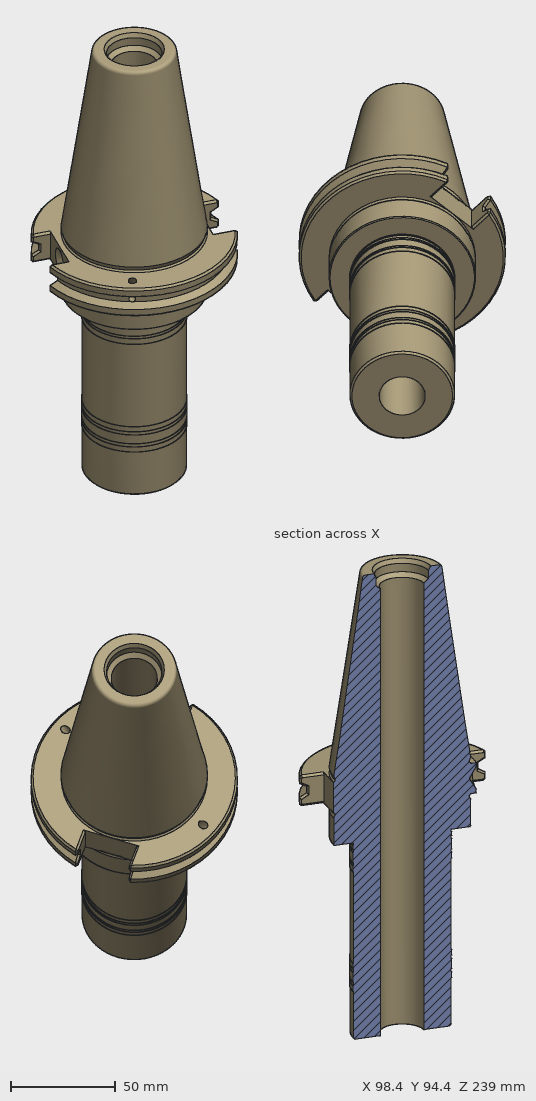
import cadquery as cq
import math


gauge_radius = 69.85 / 2
taper_ratio = 7 / 24
taper_length = 101.6
taper_end_round = 1.9

flange_radius = 98.425 / 2
flange_top = -3.175
flange_bottom = -19.05
flange_edge_chamfer = 1.0
groove_floor_radius = 91.2 / 2
flange_middle = (flange_top + flange_bottom) / 2
groove_floor_width = 3.2
groove_flank_angle = 30
groove_mouth_width = groove_floor_width + 2 * (flange_radius - groove_floor_radius) * math.tan(
    math.radians(groove_flank_angle)
)

neck_depth = 0.8
neck_step = 0.9

collar_top = -21.6
collar_bottom = -36.0
collar_bottom_chamfer = 0.5

overall_length = 239.0
sleeve_bottom = taper_length - overall_length
sleeve_radius = 50 / 2
sleeve_chamfer = 1.0
band_radius = 50.5 / 2
upper_bands = [(-37.2, 2.05), (-40.7, 5.4), (-47.55, 3.2)]
lower_bands = [(-97.95, 2.9), (-102.65, 5.05), (-109.5, 2.9)]

bore_radius = 21.96 / 2
pilot_radius = 26.4 / 2
pilot_depth = 6.5
pilot_bottom_depth = 8.5
pilot_mouth_radius = 28.7 / 2
pilot_mouth_depth = 2.2

slot_width = 25.7
slot_edge_chamfer = 1.1
front_slot_floor = -37.7
back_slot_floor = 35.0
dimple_diameter = 11.7
dimple_depth = 3.5

coolant_angle = 20
coolant_diameter = 3.9
coolant_mouth_radius = 41.9
coolant_tilt = 36
coolant_depth = 11.0
plug_diameter = 3.24
plug_depth = 4.0

cutter_overrun = 3.0
tolerance = 1e-4


def body():
    """Revolved outside shape."""
    half_angle = math.atan(taper_ratio / 2)
    taper_end_radius = gauge_radius - taper_length * math.tan(half_angle)
    round_run = taper_end_round * math.tan((math.pi / 2 - half_angle) / 2)
    round_center = (taper_end_radius - round_run, taper_length - taper_end_round)
    bisector = (math.pi / 2 + half_angle) / 2
    round_middle = (
        round_center[0] + taper_end_round * math.cos(bisector),
        round_center[1] + taper_end_round * math.sin(bisector),
    )
    round_end = (
        round_center[0] + taper_end_round * math.cos(half_angle),
        round_center[1] + taper_end_round * math.sin(half_angle),
    )
    neck_radius = gauge_radius - neck_depth
    flange_edge_radius = flange_radius - flange_edge_chamfer
    side_profile = [
        (gauge_radius, 0),
        (neck_radius, flange_top + neck_step),
        (gauge_radius, flange_top),
        (flange_edge_radius, flange_top),
        (flange_radius, flange_top - flange_edge_chamfer),
        (flange_radius, flange_middle + groove_mouth_width / 2),
        (groove_floor_radius, flange_middle + groove_floor_width / 2),
        (groove_floor_radius, flange_middle - groove_floor_width / 2),
        (flange_radius, flange_middle - groove_mouth_width / 2),
        (flange_radius, flange_bottom + flange_edge_chamfer),
        (flange_edge_radius, flange_bottom),
        (gauge_radius, flange_bottom),
        (neck_radius, flange_bottom - neck_step),
        (gauge_radius, collar_top),
        (gauge_radius, collar_bottom + collar_bottom_chamfer),
        (gauge_radius - collar_bottom_chamfer, collar_bottom),
        (sleeve_radius, collar_bottom),
        (sleeve_radius, sleeve_bottom + sleeve_chamfer),
        (sleeve_radius - sleeve_chamfer, sleeve_bottom),
        (0, sleeve_bottom),
    ]
    profile = cq.Workplane("XZ").moveTo(0, taper_length).lineTo(round_center[0], taper_length)
    profile = profile.threePointArc(round_middle, round_end)
    for point in side_profile:
        profile = profile.lineTo(*point)
    return profile.close().revolve(360, (0, 0), (0, 1))


def band(top, width):
    return cq.Workplane("XY", origin=(0, 0, top - width)).circle(band_radius).extrude(width)


def bore():
    """Stepped bore through the whole length."""
    profile = [
        (0, taper_length),
        (pilot_mouth_radius, taper_length),
        (pilot_radius, taper_length - pilot_mouth_depth),
        (pilot_radius, taper_length - pilot_depth),
        (bore_radius, taper_length - pilot_bottom_depth),
        (bore_radius, sleeve_bottom),
        (0, sleeve_bottom),
    ]
    return cq.Workplane("XZ").polyline(profile).close().revolve(360, (0, 0), (0, 1))


def drive_slot(floor):
    """Slot through the flange from its rim to the floor."""
    length = flange_radius + cutter_overrun - abs(floor)
    middle = math.copysign(abs(floor) + length / 2, floor)
    slot = cq.Workplane("XY", origin=(0, middle, flange_middle))
    return slot.box(slot_width, length, flange_top - flange_bottom)


def chamfer_slot_walls(part):
    """Chamfer the side walls of both slots, except along the slot floors."""
    slot_floors = (front_slot_floor, back_slot_floor)
    on_wall = []
    for edge in part.edges().vals():
        points = edge.positions([0, 0.5, 1])
        wall = all(abs(abs(point.x) - slot_width / 2) < tolerance for point in points)
        floor = any(all(abs(point.y - y) < tolerance for point in points) for y in slot_floors)
        if wall and not floor:
            on_wall.append(edge)
    return part.newObject(on_wall).chamfer(slot_edge_chamfer)


def dimple():
    """Conical dimple in the floor of the front slot."""
    apex_direction = cq.Vector(0, 1, 0)
    mouth_center = cq.Vector(0, front_slot_floor, flange_middle)
    cone = cq.Solid.makeCone(dimple_diameter / 2, 0, dimple_depth, mouth_center, apex_direction)
    return cq.Workplane(obj=cone)


def coolant_holes():
    """Tilted hole from the flange top and radial hole in the groove floor."""
    tilt = math.radians(coolant_tilt)
    drilling_direction = cq.Vector(-math.sin(tilt), 0, -math.cos(tilt))
    start = cq.Vector(coolant_mouth_radius, 0, flange_top) - drilling_direction * cutter_overrun
    length = cutter_overrun + coolant_depth
    tilted = cq.Solid.makeCylinder(coolant_diameter / 2, length, start, drilling_direction)
    plug_floor = cq.Vector(groove_floor_radius - plug_depth, 0, flange_middle)
    plug = cq.Solid.makeCylinder(
        plug_diameter / 2, plug_depth + cutter_overrun, plug_floor, cq.Vector(1, 0, 0)
    )
    return cq.Workplane(obj=tilted).union(cq.Workplane(obj=plug))


result = body()
for top, width in upper_bands + lower_bands:
    result = result.union(band(top, width))
result = result.cut(bore()).cut(drive_slot(front_slot_floor)).cut(drive_slot(back_slot_floor))
result = chamfer_slot_walls(result)
result = result.cut(dimple())
for angle in (-coolant_angle, 180 - coolant_angle):
    result = result.cut(coolant_holes().rotate((0, 0, 0), (0, 0, 1), angle))